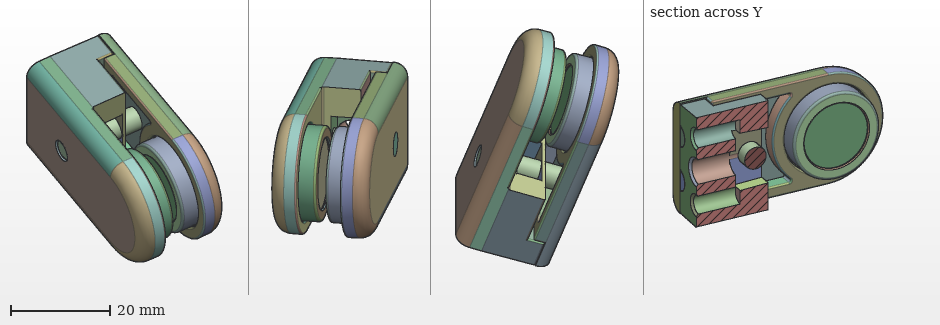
import cadquery as cq
import math

length = 45.0
thickness = 20.0
height = 25.0
half_height = height / 2
back_y = thickness / 2
front_y = -back_y
round_x = length - half_height
draft = 1.0
outer_fillet = 3.0
edge_fillet = 0.3
overrun = 4.5
tolerance = 0.005
plate_inner_y = 4.5

block_end_x = 16.45
land_y = 6.97
ledge_y = 3.4
ledge_x = 5.75
foot_fillet = 0.4

centre_hole_diameter = 5.5
side_hole_diameter = 4.0
side_hole_z = 7.5
side_hole_depth = 10.0
mouth_chamfer = 0.5

cavity_start_x = 9.0
cavity_thickness = 5.4
cavity_start_half_height = 6.5
cavity_end_half_height = 6.2

tongue_x = 6.0
peg_diameter = 4.8
peg_groove_diameter = 5.0
peg_inset = 0.1
peg_y = 7.42
peg_z = 5.0

hollow_start_x = 9.0
hollow_half_height = 10.1
hollow_depth = 3.0
hollow_end_radius = 12.75
hollow_corner_fillet = 0.4

pad_diameter = 19.5
seat_diameter = 20.0
seat_depth = 1.0
pad_gap = 2.0
pad_fillet = 0.5
pad_dish_diameter = 14.5
pad_dish_depth = 0.5
pad_dish_chamfer = 0.247

screw_x = 13.5
screw_diameter = 5.0
screw_tip_diameter = 4.6
screw_tip_chamfer = 0.292
screw_tip_inset = 0.3


def cylinder_y(diameter, x, y_from, y_to):
    """Cylinder along Y at height Z = 0."""
    return (
        cq.Workplane("XZ", origin=(x, y_from, 0))
        .circle(diameter / 2)
        .extrude(y_from - y_to)
    )


def cylinder_x(diameter, y, z, x_from, x_to):
    """Cylinder along X."""
    return (
        cq.Workplane("YZ", origin=(x_from, y, z))
        .circle(diameter / 2)
        .extrude(x_to - x_from)
    )


def box_between(x_from, x_to, y_from, y_to, z_size):
    """Box between X and Y limits, centred on Z = 0."""
    return cq.Workplane("XY").box(x_to - x_from, y_to - y_from, z_size).translate(
        ((x_from + x_to) / 2, (y_from + y_to) / 2, 0)
    )


def behind_mounting_end():
    """Space at X < 0, used to trim drafted shapes flush with the mounting end."""
    return box_between(-length, 0, -thickness, thickness, 2 * height)


def drafted_plate():
    """Front plate with a rounded end, drafted towards -Y and filleted outside."""
    plate = (
        cq.Workplane("XZ", origin=(0, -plate_inner_y, 0))
        .moveTo(-overrun, -half_height)
        .lineTo(round_x, -half_height)
        .threePointArc((length, 0), (round_x, half_height))
        .lineTo(-overrun, half_height)
        .close()
        .extrude(back_y - plate_inner_y, taper=draft)
        .faces("<Y")
        .edges("not(<X)")
        .fillet(outer_fillet)
    )
    return plate.cut(behind_mounting_end())


def screw():
    """Clamp screw with a thinner chamfered tip that shows in the front plate."""
    tip = cylinder_y(screw_tip_diameter, screw_x, front_y + screw_tip_inset, -plate_inner_y)
    tip = tip.faces("<Y").chamfer(screw_tip_chamfer)
    return tip.union(cylinder_y(screw_diameter, screw_x, -plate_inner_y, back_y))


def peg_pair(diameter, start_x):
    """Two round bars along X, ending inside the cover's tongue."""
    pair = cq.Workplane("XY")
    for side in (-1, 1):
        bar = cylinder_x(diameter, peg_y, side * peg_z, start_x, tongue_x + edge_fillet)
        pair = pair.union(bar)
    return pair


class StepEdges(cq.Selector):
    """Side edges of the land, of the ledge and of the wall between them."""

    def filter(self, edges):
        def on_step(edge):
            centre = edge.Center()
            beside = abs(centre.z) > half_height / 2
            inside = 0 < centre.x < block_end_x - edge_fillet
            return beside and inside and centre.y > ledge_y - edge_fillet

        return [edge for edge in edges if on_step(edge)]


class FootEdge(cq.Selector):
    """Inside corner between the block's end and the base plate."""

    def filter(self, edges):
        corner = cq.Vector(block_end_x, -plate_inner_y, 0)
        return [edge for edge in edges if (edge.Center() - corner).Length < tolerance]


def mounting_block():
    """Stepped block with drafted sides and rounded edges along the step."""
    block = (
        cq.Workplane("XZ", origin=(0, -plate_inner_y, 0))
        .moveTo(-overrun, -half_height)
        .lineTo(block_end_x, -half_height)
        .lineTo(block_end_x, half_height)
        .lineTo(-overrun, half_height)
        .close()
        .extrude(-(land_y + plate_inner_y), taper=draft)
    )
    block = block.cut(behind_mounting_end())
    block = block.cut(box_between(ledge_x, length, ledge_y, back_y, 2 * height))
    return block.edges(StepEdges()).fillet(edge_fillet)


def mounting_holes():
    """Three chamfered holes in the mounting end; the centre one runs right through."""
    holes = cylinder_x(centre_hole_diameter, 0, 0, 0, block_end_x)
    holes = holes.union(hole_mouth(centre_hole_diameter, 0))
    for side in (-1, 1):
        z = side * side_hole_z
        holes = holes.union(cylinder_x(side_hole_diameter, 0, z, 0, side_hole_depth))
        holes = holes.union(hole_mouth(side_hole_diameter, z))
    return holes


def hole_mouth(diameter, z):
    """Cone that chamfers the mouth of a hole at X = 0."""
    radius = diameter / 2
    cone = cq.Solid.makeCone(
        radius + mouth_chamfer, radius, mouth_chamfer, cq.Vector(0, 0, z), cq.Vector(1, 0, 0)
    )
    return cq.Workplane("XY").add(cone)


def block_cavity():
    """Cavity open towards +X, slightly narrower at its open end."""
    return (
        cq.Workplane("XZ", origin=(0, cavity_thickness / 2, 0))
        .moveTo(cavity_start_x, -cavity_start_half_height)
        .lineTo(block_end_x, -cavity_end_half_height)
        .lineTo(block_end_x, cavity_end_half_height)
        .lineTo(cavity_start_x, cavity_start_half_height)
        .close()
        .extrude(cavity_thickness)
    )


def pad_seat(side):
    """Round recess with a rounded mouth; side is -1 for the base and 1 for the cover."""
    inner = side * plate_inner_y
    bore = cylinder_y(seat_diameter, round_x, inner, inner + side * seat_depth)
    mouth = cylinder_y(seat_diameter + 2 * edge_fillet, round_x, inner, inner + side * edge_fillet)
    rounding = (
        cq.Workplane("XY")
        .moveTo(seat_diameter / 2 + edge_fillet, side * (plate_inner_y + edge_fillet))
        .circle(edge_fillet)
        .revolve(360, (0, 0, 0), (0, 1, 0))
        .translate((round_x, 0, 0))
    )
    return bore.union(mouth.cut(rounding))


def make_base():
    """Front plate and mounting block in one casting."""
    plate = drafted_plate()
    foot_end_x = block_end_x + foot_fillet
    sharp_part = plate.intersect(box_between(0, foot_end_x, -thickness, 0, 2 * height))
    rounded_part = plate.faces(">Y").edges("not(<X)").fillet(edge_fillet)
    base = rounded_part.union(sharp_part).union(mounting_block())
    base = base.edges(FootEdge()).fillet(foot_fillet)
    base = base.cut(mounting_holes()).cut(block_cavity()).cut(pad_seat(-1))
    base = base.cut(peg_pair(peg_groove_diameter, 0)).cut(screw())
    return base.cut(cylinder_y(screw_tip_diameter, screw_x, front_y, -plate_inner_y))


def cover_hollow():
    """Hollow behind the tongue, ending in a wall concentric with the pad."""
    corner_x = round_x - math.sqrt(hollow_end_radius**2 - hollow_half_height**2)
    return (
        cq.Workplane("XZ", origin=(0, plate_inner_y, 0))
        .moveTo(hollow_start_x, -hollow_half_height)
        .lineTo(corner_x, -hollow_half_height)
        .threePointArc((round_x - hollow_end_radius, 0), (corner_x, hollow_half_height))
        .lineTo(hollow_start_x, hollow_half_height)
        .close()
        .extrude(-hollow_depth)
        .edges("|Y")
        .fillet(hollow_corner_fillet)
    )


class HollowMouth(cq.Selector):
    """Edges of the hollow where it opens in the cover's inner face."""

    def filter(self, edges):
        def on_mouth(edge):
            bounds = edge.BoundingBox()
            below_top = bounds.zmax < hollow_half_height + tolerance
            above_bottom = bounds.zmin > -hollow_half_height - tolerance
            before_pad = hollow_start_x - tolerance < bounds.xmin and bounds.xmax < round_x
            on_face = abs(bounds.ymax - plate_inner_y) < tolerance
            return below_top and above_bottom and before_pad and on_face

        return [edge for edge in edges if on_mouth(edge)]


def make_cover():
    """Back plate whose tongue fits behind the block's land."""
    cover = drafted_plate().mirror("XZ")
    cover = cover.cut(box_between(0, tongue_x, 0, land_y, 2 * height))
    tongue_end = cq.selectors.NearestToPointSelector((tongue_x, (plate_inner_y + land_y) / 2, 0))
    cover = cover.faces(tongue_end).edges("<Z or >Z").fillet(edge_fillet)
    cover = cover.faces("<Y").edges().fillet(edge_fillet)
    cover = cover.union(peg_pair(peg_diameter, peg_inset))
    cover = cover.cut(cover_hollow())
    cover = cover.edges(HollowMouth()).fillet(edge_fillet)
    cover = cover.cut(pad_seat(1))
    return cover.cut(screw())


def make_pad(side):
    """Dished round pad; side is -1 for the base and 1 for the cover."""
    face_y = side * pad_gap / 2
    seat_y = side * (plate_inner_y + seat_depth)
    face = "<Y" if side > 0 else ">Y"
    pad = cylinder_y(pad_diameter, round_x, face_y, seat_y).faces(face).fillet(pad_fillet)
    dish = cylinder_y(pad_dish_diameter, round_x, face_y, face_y + side * pad_dish_depth)
    pad = pad.cut(dish)
    dish_rim = cq.selectors.RadiusNthSelector(0)
    return pad.faces(face).edges(dish_rim).chamfer(pad_dish_chamfer)


base = make_base()
cover = make_cover()
clamp_screw = screw()
pads = [make_pad(side) for side in (-1, 1)]

result = cq.Compound.makeCompound(
    [base.val(), cover.val(), clamp_screw.val(), *[pad.val() for pad in pads]]
)